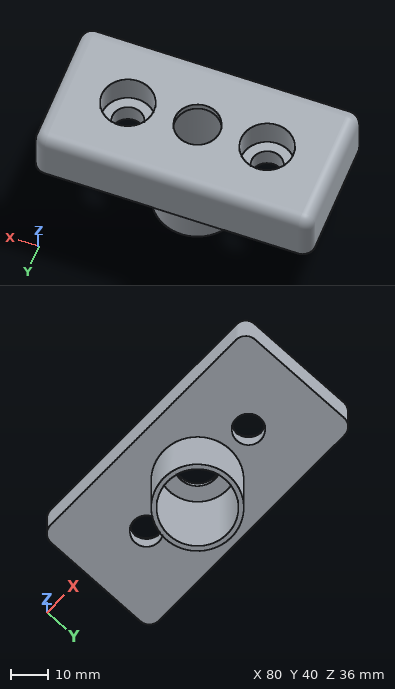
import cadquery as cq

plate_length = 80.0
plate_width = 40.0
plate_height = 15.0
edge_radius = 3.6

total_height = 36.0
stem_diameter = 24.9
stem_height = total_height - plate_height

centre_hole_diameter = 13.0
centre_hole_depth = 2.0
stem_bore_diameter = 22.0
stem_bore_height = total_height - centre_hole_depth

screw_spacing = plate_length / 2
screw_hole_diameter = 9.0
counterbore_diameter = 15.0
counterbore_depth = 9.0


def make_plate():
    """Plate with its underside at Z = 0, rounded on its sides and top."""
    plate = cq.Workplane("XY").box(
        plate_length, plate_width, plate_height, centered=(True, True, False)
    )
    return plate.edges("|Z or >Z").fillet(edge_radius)


def add_stem(body):
    stem = cq.Workplane("XY").circle(stem_diameter / 2).extrude(-stem_height)
    return body.union(stem)


def cut_centre_bore(body):
    bore = (
        cq.Workplane("XY", origin=(0, 0, -stem_height))
        .circle(stem_bore_diameter / 2)
        .extrude(stem_bore_height)
    )
    hole = cq.Workplane("XY").circle(centre_hole_diameter / 2).extrude(plate_height)
    return body.cut(bore).cut(hole)


def cut_screw_holes(body):
    return (
        body.faces(">Z")
        .workplane(origin=(0, 0, plate_height))
        .pushPoints([(-screw_spacing / 2, 0), (screw_spacing / 2, 0)])
        .cboreHole(screw_hole_diameter, counterbore_diameter, counterbore_depth)
    )


result = make_plate()
result = add_stem(result)
result = cut_centre_bore(result)
result = cut_screw_holes(result)